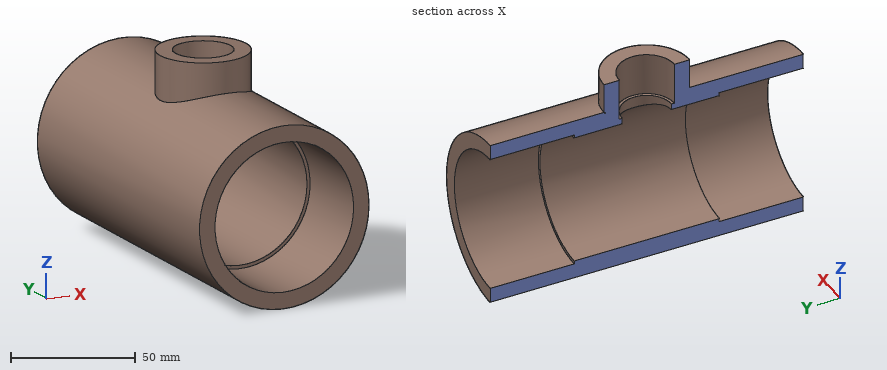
import cadquery as cq

length = 142.0
pipe_diameter = 77.0
socket_diameter = 62.9
bore_diameter = 60.0
socket_depth = 38.0

branch_top = 52.0
branch_diameter = 38.9
branch_socket_diameter = 24.8
branch_bore_diameter = 22.3
branch_socket_depth = 19.0


def cylinder_along_y(diameter, span):
    """Cylinder on the Y axis, centred on the origin."""
    return cq.Workplane("XZ").circle(diameter / 2).extrude(span / 2, both=True)


def cylinder_below_top(diameter, depth):
    """Cylinder reaching down from the top face of the branch."""
    return cq.Workplane("XY").workplane(offset=branch_top).circle(diameter / 2).extrude(-depth)


body = cylinder_along_y(pipe_diameter, length).union(cylinder_below_top(branch_diameter, branch_top))

body = body.cut(cylinder_along_y(bore_diameter, length))
stop_width = length - 2 * socket_depth
sockets = cylinder_along_y(socket_diameter, length).cut(cylinder_along_y(socket_diameter, stop_width))
body = body.cut(sockets)

body = body.cut(cylinder_below_top(branch_bore_diameter, branch_top))
result = body.cut(cylinder_below_top(branch_socket_diameter, branch_socket_depth))